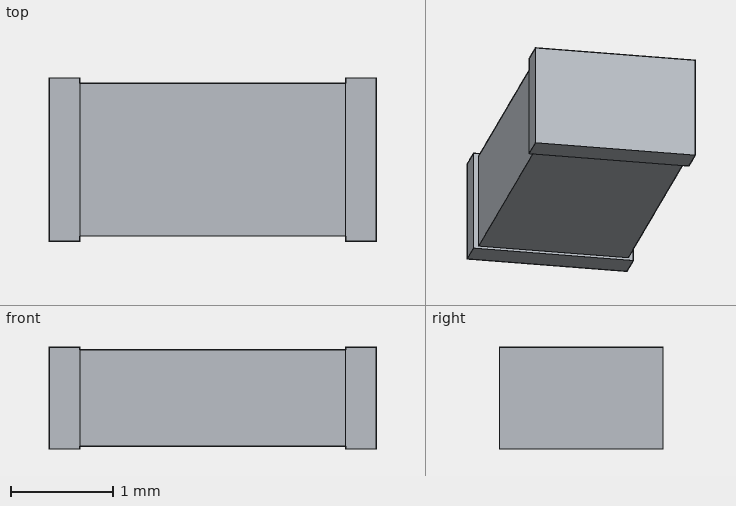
import cadquery as cq

length = 3.2
width = 1.6
height = 1.0

cap_length = 0.3
side_step = 0.05
face_step = 0.025

body_length = length - 2 * cap_length
body_width = width - 2 * side_step
body_height = height - 2 * face_step
cap_offset = (length - cap_length) / 2


def end_cap(x_center):
    """Rectangular terminal block centred at the given X position."""
    return cq.Workplane("XY").box(cap_length, width, height).translate((x_center, 0, 0))


result = cq.Workplane("XY").box(body_length, body_width, body_height)
for x_center in (-cap_offset, cap_offset):
    result = result.union(end_cap(x_center))